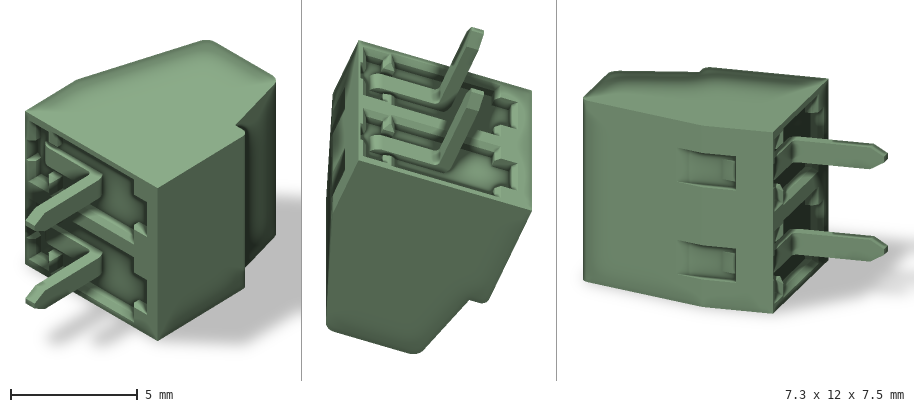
import cadquery as cq
import math


OVERALL_LENGTH = 12.0

BODY_WIDTH = 7.3
BODY_DEPTH = 8.5
BODY_HEIGHT = 7.5
SLANT_START_Y = 2.9
NOSE_LEFT_X = 1.8
NOSE_RIGHT_X = 5.69
LEDGE_Y = 5.11
LEDGE_INNER_X = 6.58
NOSE_RADIUS = 0.5
LEDGE_RADIUS = 0.3
SIDE_BEND_RADIUS = 0.5

POLE_COUNT = 2
POLE_PITCH = 3.82

OVERLAP = 0.06

POCKET_DEPTH = 0.5
POCKET_BEVEL = 0.2
SMALL_ROOM_X = (0.4, 1.1)
SMALL_ROOM_HALF = 1.3
LARGE_ROOM_X = (1.58, 5.78)
LARGE_ROOM_HALF = 1.39
NECK_HALF = 0.79
KEYWAY_END_X = 6.5
KEYWAY_HALF = 0.85

NOTCH_X = 0.07
NOTCH_HALF = 0.5
NOTCH_DEPTH = 0.66

RECESS_START_Y = 1.51
RECESS_HALF = 0.71
RECESS_FLOOR_X = 0.37
RECESS_REAR_FLOOR_X = 0.4
RECESS_RAMP_Y = (3.52, 3.62)
RECESS_END_Y = 4.32
BARB_HALF = 0.41
BARB_X = 0.22
BARB_Y = (1.62, 1.73, 2.22)

PIN_LENGTH = OVERALL_LENGTH - BODY_DEPTH
PIN_THICKNESS = 0.52
PIN_WIDTH = 0.9
LEG_X = 3.43
BAR_Y = 0.24
BAR_END_X = 0.58
BEND_RADIUS = 0.2
TIP_LENGTH = 0.58
TIP_WIDTH = 0.24


def prism(points, half_height, pole_z):
    """Extrude an XY outline evenly to both sides of a pole's centre plane."""
    return (
        cq.Workplane("XY", origin=(0, 0, pole_z))
        .polyline(points)
        .close()
        .extrude(half_height, both=True)
    )


def make_body():
    outline = [
        (0, 0),
        (BODY_WIDTH, 0),
        (BODY_WIDTH, LEDGE_Y),
        (LEDGE_INNER_X, LEDGE_Y),
        (NOSE_RIGHT_X, BODY_DEPTH),
        (NOSE_LEFT_X, BODY_DEPTH),
        (0, SLANT_START_Y),
    ]
    body = cq.Workplane("XY").polyline(outline).close().extrude(BODY_HEIGHT)
    rounded_corners = [
        (BODY_WIDTH, LEDGE_Y, LEDGE_RADIUS),
        (NOSE_RIGHT_X, BODY_DEPTH, NOSE_RADIUS),
        (NOSE_LEFT_X, BODY_DEPTH, NOSE_RADIUS),
        (0, SLANT_START_Y, SIDE_BEND_RADIUS),
    ]
    for x, y, radius in rounded_corners:
        corner = cq.NearestToPointSelector((x, y, BODY_HEIGHT / 2))
        body = body.edges("|Z").edges(corner).fillet(radius)
    return body


def bevelled_room(x_range, half_height, pole_z, start_bevel, end_bevel, side_bevel):
    """Box sunk to the pocket floor, widened towards the mouth by the given bevels."""
    start, end = x_range
    floor_width = end - start
    floor_centre = (start + end) / 2
    box = (
        cq.Workplane("XZ", origin=(floor_centre, 0, pole_z))
        .rect(floor_width, 2 * half_height)
        .extrude(-POCKET_DEPTH)
    )
    mouth_shift = (end_bevel - start_bevel) / 2
    bevel = (
        cq.Workplane("XZ", origin=(floor_centre + mouth_shift, 0, pole_z))
        .rect(floor_width + start_bevel + end_bevel, 2 * (half_height + side_bevel))
        .workplane(offset=-POCKET_BEVEL)
        .center(-mouth_shift, 0)
        .rect(floor_width, 2 * half_height)
        .loft(ruled=True)
    )
    return box.union(bevel)


def make_pocket(pole_z):
    bevel = POCKET_BEVEL
    neck_x = (SMALL_ROOM_X[1], LARGE_ROOM_X[0])
    keyway_x = (LARGE_ROOM_X[1] - OVERLAP, KEYWAY_END_X)
    pocket = bevelled_room(SMALL_ROOM_X, SMALL_ROOM_HALF, pole_z, bevel, bevel, bevel)
    pocket = pocket.union(bevelled_room(LARGE_ROOM_X, LARGE_ROOM_HALF, pole_z, bevel, bevel, bevel))
    pocket = pocket.union(bevelled_room(neck_x, NECK_HALF, pole_z, 0, 0, bevel))
    return pocket.union(bevelled_room(keyway_x, KEYWAY_HALF, pole_z, 0, bevel, 0))


def make_notch(pole_z):
    inner_x = SMALL_ROOM_X[0]
    outline = [(NOTCH_X, 0), (inner_x, 0), (inner_x, POCKET_DEPTH), (NOTCH_X, NOTCH_DEPTH)]
    return prism(outline, NOTCH_HALF, pole_z)


def make_recess(pole_z):
    ramp_start, ramp_end = RECESS_RAMP_Y
    outline = [
        (0, RECESS_START_Y),
        (RECESS_FLOOR_X, RECESS_START_Y),
        (RECESS_FLOOR_X, ramp_start),
        (RECESS_REAR_FLOOR_X, ramp_end),
        (RECESS_REAR_FLOOR_X, RECESS_END_Y),
        (0, RECESS_END_Y),
    ]
    return prism(outline, RECESS_HALF, pole_z)


def make_barb(pole_z):
    front_y, crest_y, back_y = BARB_Y
    root_x = RECESS_FLOOR_X + OVERLAP
    outline = [
        (root_x, front_y),
        (BARB_X, front_y),
        (BARB_X, crest_y),
        (RECESS_FLOOR_X, back_y),
        (root_x, back_y),
    ]
    return prism(outline, BARB_HALF, pole_z)


def make_pin(pole_z):
    leg_outer_x = LEG_X + PIN_THICKNESS
    bar_back_y = BAR_Y + PIN_THICKNESS
    outer_radius = BEND_RADIUS + PIN_THICKNESS
    bend_x = LEG_X - BEND_RADIUS
    bend_y = BAR_Y - BEND_RADIUS
    diagonal = math.cos(math.radians(45))
    bar_round_x = BAR_END_X + PIN_THICKNESS
    pin = (
        cq.Workplane("XY", origin=(0, 0, pole_z))
        .moveTo(LEG_X, -PIN_LENGTH)
        .lineTo(LEG_X, bend_y)
        .threePointArc(
            (bend_x + BEND_RADIUS * diagonal, bend_y + BEND_RADIUS * diagonal),
            (bend_x, BAR_Y),
        )
        .lineTo(bar_round_x, BAR_Y)
        .threePointArc(
            (bar_round_x - PIN_THICKNESS * diagonal, bar_back_y - PIN_THICKNESS * diagonal),
            (BAR_END_X, bar_back_y),
        )
        .lineTo(bend_x, bar_back_y)
        .threePointArc(
            (bend_x + outer_radius * diagonal, bend_y + outer_radius * diagonal),
            (leg_outer_x, bend_y),
        )
        .lineTo(leg_outer_x, -PIN_LENGTH)
        .close()
        .extrude(PIN_WIDTH / 2, both=True)
    )
    side_outline = [
        (bar_back_y, PIN_WIDTH / 2),
        (TIP_LENGTH - PIN_LENGTH, PIN_WIDTH / 2),
        (-PIN_LENGTH, TIP_WIDTH / 2),
        (-PIN_LENGTH, -TIP_WIDTH / 2),
        (TIP_LENGTH - PIN_LENGTH, -PIN_WIDTH / 2),
        (bar_back_y, -PIN_WIDTH / 2),
    ]
    side_shape = (
        cq.Workplane("YZ", origin=(0, 0, pole_z))
        .polyline(side_outline)
        .close()
        .extrude(leg_outer_x)
    )
    return pin.intersect(side_shape)


result = make_body()
first_pole_z = (BODY_HEIGHT - (POLE_COUNT - 1) * POLE_PITCH) / 2
for pole in range(POLE_COUNT):
    pole_z = first_pole_z + pole * POLE_PITCH
    result = result.cut(make_pocket(pole_z)).cut(make_notch(pole_z)).cut(make_recess(pole_z))
    result = result.union(make_barb(pole_z)).union(make_pin(pole_z))